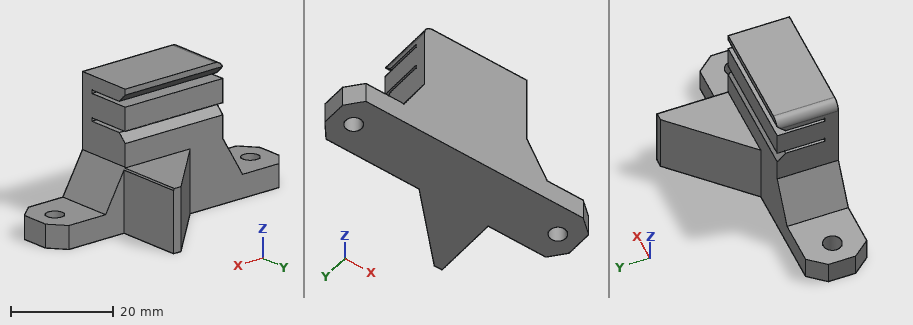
import cadquery as cq
import math

length = 59.8
depth = 13.0
height = 30.0

base_thickness = 5.0
corner_short = 3.0
corner_long = 3.6
hole_diameter = 3.8
left_hole_inset = 4.9
right_hole_inset = 4.9

block_width = 25.0
shoulder_run = 5.0
shoulder_angle = 60.0
shoulder_rise = shoulder_run * math.tan(math.radians(shoulder_angle))
shoulder_top = base_thickness + shoulder_rise
top_edge_radius = 2.0

slot_depth = 10.1
slot_thickness = 0.7
slot_mouth_bevel = 1.8
tongue_thickness = 5.1
tongue_top = height - 3.75
tongue_bottom = tongue_top - tongue_thickness

fin_reach = 15.0
fin_height = 13.6
fin_right = 12.8
fin_tip_width = 1.9

half_length = length / 2
half_block = block_width / 2
half_foot = half_block + shoulder_run


def make_base():
    """Flat plate with bevelled corners; the right front bevel is turned the other way."""
    outline = [
        (-half_length + corner_short, 0),
        (half_length - corner_long, 0),
        (half_length, corner_short),
        (half_length, depth - corner_long),
        (half_length - corner_short, depth),
        (-half_length + corner_short, depth),
        (-half_length, depth - corner_long),
        (-half_length, corner_long),
    ]
    plate = cq.Workplane("XY").polyline(outline).close().extrude(base_thickness)
    hole_centers = [
        (-half_length + left_hole_inset, depth / 2),
        (half_length - right_hole_inset, depth / 2),
    ]
    holes = cq.Workplane("XY").pushPoints(hole_centers).circle(hole_diameter / 2).extrude(base_thickness)
    return plate.cut(holes)


def make_profile_body(body_depth):
    """Block and shoulder profile, extruded backwards from the front face."""
    outline = [
        (-half_foot, 0),
        (half_foot, 0),
        (half_foot, base_thickness),
        (half_block, shoulder_top),
        (half_block, height),
        (-half_block, height),
        (-half_block, shoulder_top),
        (-half_foot, base_thickness),
    ]
    return cq.Workplane("XZ").polyline(outline).close().extrude(-body_depth)


def make_block():
    """Upright block with its upper left edge rounded."""
    body = make_profile_body(depth)
    return body.edges("|Y").edges(">Z").edges("<X").fillet(top_edge_radius)


def make_slot(tongue_face, outward):
    """Slot along X beside the tongue; outward is +1 above the tongue and -1 below it."""
    outer_face = tongue_face + outward * slot_thickness
    slot_end = depth - slot_depth
    outline = [
        (slot_end, tongue_face),
        (depth, tongue_face),
        (depth, outer_face + outward * slot_mouth_bevel),
        (depth - slot_mouth_bevel, outer_face),
        (slot_end, outer_face),
    ]
    return cq.Workplane("YZ").polyline(outline).close().extrude(half_block, both=True)


def make_fin():
    """Triangular fin whose upper right edge follows the slope of the shoulder."""
    fin_tip_left = fin_right - fin_tip_width
    outline = [
        (fin_right, depth),
        (fin_right, depth + fin_reach),
        (fin_tip_left, depth + fin_reach),
        (fin_tip_left - fin_reach, depth),
    ]
    prism = cq.Workplane("XY").polyline(outline).close().extrude(fin_height)
    return prism.intersect(make_profile_body(depth + fin_reach))


block = make_block()
block = block.cut(make_slot(tongue_top, 1))
block = block.cut(make_slot(tongue_bottom, -1))

result = make_base().union(block).union(make_fin())